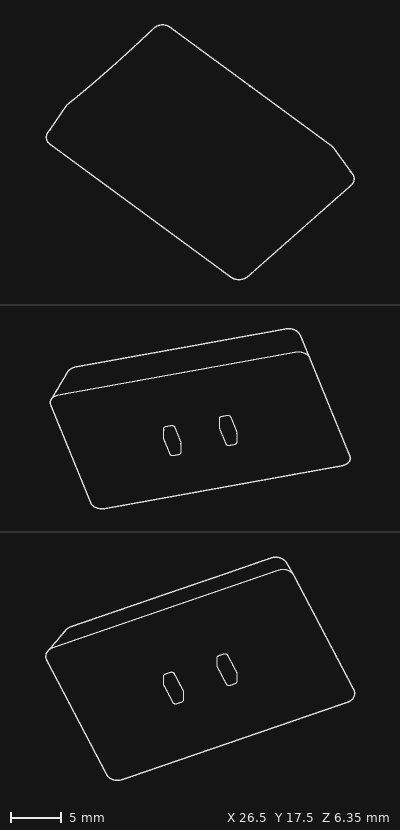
import cadquery as cq
import math

length = 26.5
width = 17.5
draft_angle = 16.5
corner_radius = 1.25
rim_radius = 0.6

dish_floor = 4.03
dish_radius = 28.62

pin_size_x = 1.15
pin_size_y = 2.9
pin_length = 1.5
pin_spacing = 5.72
pin_rounding = 0.3

blank_height = 6.35


def tapered_blank():
    """Drafted block with the same corner radius all the way up."""
    inset = blank_height * math.tan(math.radians(draft_angle))
    blank = (
        cq.Workplane("XY")
        .rect(length, width)
        .workplane(offset=blank_height)
        .rect(length - 2 * inset, width - 2 * inset)
        .loft(combine=True)
    )
    return blank.edges("not(|X or |Y)").fillet(corner_radius)


def keycap_body():
    """Block with a dished top and a rounded rim around the dish."""
    dish = (
        cq.Workplane("YZ")
        .center(0, dish_floor + dish_radius)
        .circle(dish_radius)
        .extrude(length, both=True)
    )
    body = tapered_blank().cut(dish)
    dish_face = body.faces("%CYLINDER").faces(cq.selectors.AreaNthSelector(-1))
    return dish_face.edges().fillet(rim_radius)


def pin(center_x):
    """Hanging pin, rounded everywhere except where it joins the body."""
    block = (
        cq.Workplane("XY")
        .center(center_x, 0)
        .rect(pin_size_x, pin_size_y)
        .extrude(-pin_length)
    )
    return block.edges("|Z or <Z").fillet(pin_rounding)


result = keycap_body()
for side in (-1, 1):
    result = result.union(pin(side * pin_spacing / 2))